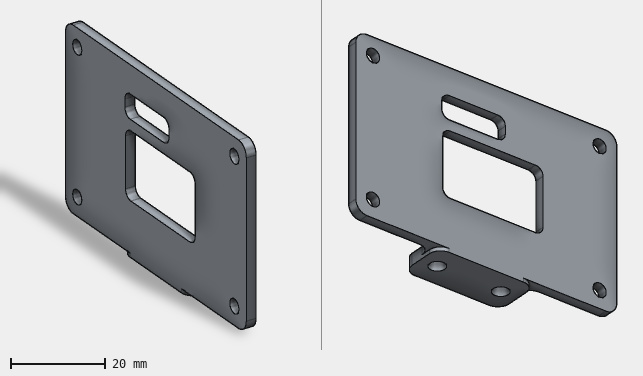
import cadquery as cq

plate_width = 70.0
plate_thickness = 2.5
overall_height = 46.0
plate_bottom = 1.0
plate_height = overall_height - plate_bottom
plate_mid_z = plate_bottom + plate_height / 2
corner_radius = 3.0

plate_hole_diameter = 3.5
plate_hole_inset = 4.6

slot_width = 17.0
slot_height = 6.0
slot_x = -3.4
slot_z = 36.0
window_width = 26.9
window_height = 16.7
window_x = 1.75
window_z = 21.9
window_radius = 2.0

tab_width = 26.0
tab_depth = 12.0
tab_thickness = 3.0
tab_hole_diameter = 4.0
tab_hole_spacing = 17.0
tab_hole_y = 6.0


def upright_block(width, height, x, z, radius):
    """Round-cornered block as thick as the plate, centred at (x, z)."""
    return (
        cq.Workplane("XY")
        .box(width, plate_thickness, height)
        .edges("|Y")
        .fillet(radius)
        .translate((x, plate_thickness / 2, z))
    )


def make_plate():
    plate = upright_block(plate_width, plate_height, 0, plate_mid_z, corner_radius)
    slot = upright_block(slot_width, slot_height, slot_x, slot_z, window_radius)
    window = upright_block(window_width, window_height, window_x, window_z, window_radius)
    holes = (
        cq.Workplane("XZ", origin=(0, 0, plate_mid_z))
        .rarray(plate_width - 2 * plate_hole_inset, plate_height - 2 * plate_hole_inset, 2, 2)
        .circle(plate_hole_diameter / 2)
        .extrude(-plate_thickness)
    )
    return plate.cut(slot).cut(window).cut(holes)


def make_tab():
    return (
        cq.Workplane("XY", origin=(0, tab_depth / 2, 0))
        .rect(tab_width, tab_depth)
        .extrude(tab_thickness)
        .edges("|Z")
        .fillet(corner_radius)
    )


def make_root_fillet(side):
    """Concave fillet between the tab's side (-1 or +1) and the back of the plate."""
    tab_edge = side * tab_width / 2
    outer_x = tab_edge + side * corner_radius
    tangent_y = plate_thickness + corner_radius
    arc_mid_offset = corner_radius * (1 - 0.5 ** 0.5)
    arc_mid = (tab_edge + side * arc_mid_offset, plate_thickness + arc_mid_offset)
    inner_x = tab_edge - side * corner_radius
    return (
        cq.Workplane("XY", origin=(0, 0, plate_bottom))
        .moveTo(outer_x, plate_thickness)
        .threePointArc(arc_mid, (tab_edge, tangent_y))
        .lineTo(inner_x, tangent_y)
        .lineTo(inner_x, plate_thickness)
        .close()
        .extrude(tab_thickness - plate_bottom)
    )


tab_holes = (
    cq.Workplane("XY", origin=(0, tab_hole_y, 0))
    .rarray(tab_hole_spacing, 0.7, 2, 1)
    .circle(tab_hole_diameter / 2)
    .extrude(tab_thickness)
)

bracket = make_plate().union(make_tab())
for side in (-1, 1):
    bracket = bracket.union(make_root_fillet(side))

result = bracket.cut(tab_holes)